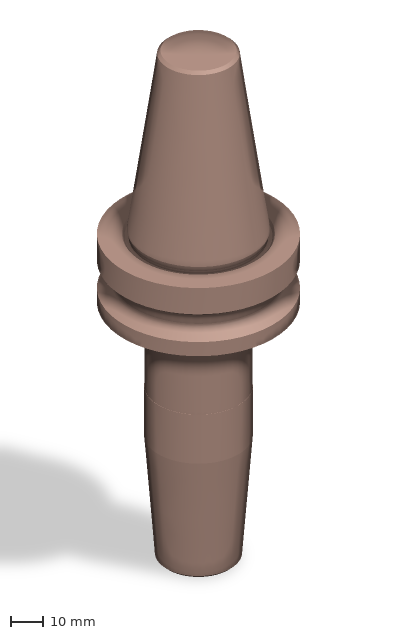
import cadquery as cq
import math

total_length = 185.4
gauge_height = 120.0
gauge_radius = 22.2
taper_slope = 7 / 48
taper_chamfer = 1.0
relief_radius = 21.7

flange_radius = 31.5
flange_top = 118.1
flange_bottom = 93.0
upper_rim_height = 9.6
lower_rim_height = 5.2
groove_radius = 26.5
groove_flank_angle = 30
groove_fillet = 1.1

recess_radius = 23.7
recess_floor_radius = 23.0
recess_depth = 1.0

band_radius = 16.9
neck_step = 0.1
band_top = 62.3
band_bottom = 44.3
tip_radius = 13.5
tip_chamfer = 1.0
neck_fillet = 1.0

neck_radius = band_radius - neck_step
taper_top_radius = gauge_radius - (total_length - gauge_height) * taper_slope
taper_chamfer_radius = taper_top_radius + taper_chamfer * taper_slope
recess_floor = flange_top - recess_depth
groove_flank_height = (flange_radius - groove_radius) * math.tan(math.radians(groove_flank_angle))
groove_top = flange_top - upper_rim_height
groove_bottom = flange_bottom + lower_rim_height
floor_bottom = groove_bottom + groove_flank_height
floor_top = groove_top - groove_flank_height

profile = [
    (0, 0),
    (tip_radius - tip_chamfer, 0),
    (tip_radius, tip_chamfer),
    (band_radius, band_bottom),
    (band_radius, band_top),
    (neck_radius, band_top),
    (neck_radius, flange_bottom),
    (flange_radius, flange_bottom),
    (flange_radius, groove_bottom),
    (groove_radius, floor_bottom),
    (groove_radius, floor_top),
    (flange_radius, groove_top),
    (flange_radius, flange_top),
    (recess_radius, flange_top),
    (recess_floor_radius, recess_floor),
    (relief_radius, recess_floor),
    (relief_radius, flange_top),
    (gauge_radius, gauge_height),
    (taper_chamfer_radius, total_length - taper_chamfer),
    (taper_top_radius - taper_chamfer, total_length),
    (0, total_length),
]


def fillet_ring(body, ring_radius, height, fillet_radius):
    """Round the circular edge with this radius at this height."""
    margin = 0.2
    selector = cq.selectors.BoxSelector(
        (-ring_radius - margin, -ring_radius - margin, height - margin),
        (ring_radius + margin, ring_radius + margin, height + margin),
        boundingbox=True,
    )
    return body.edges("%CIRCLE").edges(selector).fillet(fillet_radius)


body = cq.Workplane("XZ").polyline(profile).close().revolve(360, (0, 0), (0, 1))
body = fillet_ring(body, groove_radius, floor_bottom, groove_fillet)
body = fillet_ring(body, groove_radius, floor_top, groove_fillet)
result = fillet_ring(body, neck_radius, flange_bottom, neck_fillet)